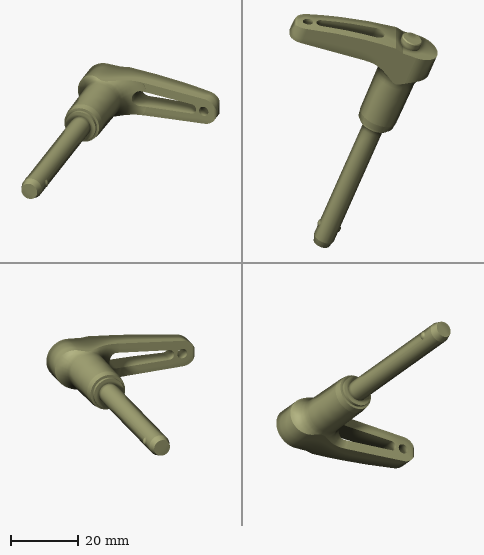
import cadquery as cq
import math


shank_radius = 3.175
shank_length = 45.5
tip_length = 2.2
tip_radius = 2.5

ball_radius = 1.45
ball_reach = 3.63
ball_y = -39.0

collar_radius = 4.72
collar_height = 0.97
sleeve_rim_radius = 5.5
sleeve_edge_radius = 5.8
sleeve_edge_y = 3.1
sleeve_top_radius = 6.0
sleeve_top_y = 17.4

button_radius = 3.15
button_top_y = 32.22
button_chamfer = 0.3

head_radius = 6.345
head_x = -2.505
grip_end_radius = 4.1
grip_end_x = 31.215

head_top_y = 29.9
step_start = (2.1, head_top_y)
step_end = (4.6, 30.68)
back_middle = (22.6, 28.8)
back_end = (34.75, 26.0)
belly_end = (35.52, 21.25)
belly_start = (10.0, 23.35)
nose_radius = 0.9

flare_start = (sleeve_top_radius, sleeve_top_y)
flare_middle = (7.76, 21.64)
flare_outer_radius = 12.75
belly_slope = (belly_end[1] - belly_start[1]) / (belly_end[0] - belly_start[0])
flare_outer_y = belly_start[1] + belly_slope * (flare_outer_radius - belly_start[0])
flare_end = (flare_outer_radius, flare_outer_y)

window_wide_radius = 2.5
window_wide_x = 10.8
window_narrow_radius = 1.55
window_narrow_x = 27.2
lanyard_hole_radius = 1.5

hub_top_y = head_top_y

cut_height = 2 * head_top_y


def tapered_prism(x_a, radius_a, x_b, radius_b, height):
    """Prism along +Y from Y = 0: circle a at the left, circle b at the right, joined by tangents."""
    lean = math.asin((radius_a - radius_b) / (x_b - x_a))
    ax = x_a + radius_a * math.sin(lean)
    az = radius_a * math.cos(lean)
    bx = x_b + radius_b * math.sin(lean)
    bz = radius_b * math.cos(lean)
    return (
        cq.Workplane("XZ")
        .moveTo(ax, az)
        .lineTo(bx, bz)
        .threePointArc((x_b + radius_b, 0), (bx, -bz))
        .lineTo(ax, -az)
        .threePointArc((x_a - radius_a, 0), (ax, az))
        .close()
        .extrude(-height)
    )


def revolve_about_pin(outline):
    return outline.close().revolve(360, (0, 0, 0), (0, 1, 0))


def make_shank():
    return revolve_about_pin(
        cq.Workplane("XY")
        .moveTo(0, -shank_length)
        .lineTo(tip_radius, -shank_length)
        .lineTo(shank_radius, tip_length - shank_length)
        .lineTo(shank_radius, collar_height)
        .lineTo(0, collar_height)
    )


def make_ball(side):
    return cq.Workplane("XY").sphere(ball_radius).translate((side * (ball_reach - ball_radius), ball_y, 0))


def make_sleeve():
    return revolve_about_pin(
        cq.Workplane("XY")
        .lineTo(collar_radius, 0)
        .lineTo(collar_radius, collar_height)
        .lineTo(sleeve_rim_radius, collar_height)
        .lineTo(sleeve_edge_radius, sleeve_edge_y)
        .lineTo(sleeve_top_radius, sleeve_top_y)
        .lineTo(0, sleeve_top_y)
    )


def make_head():
    """Flare and the round hub above it, before trimming to the handle plan."""
    return revolve_about_pin(
        cq.Workplane("XY")
        .moveTo(0, sleeve_top_y)
        .lineTo(*flare_start)
        .threePointArc(flare_middle, flare_end)
        .lineTo(flare_outer_radius, hub_top_y)
        .lineTo(0, hub_top_y)
    )


def make_grip():
    """Arm profile extruded across the handle width, before trimming to the handle plan."""
    grip = (
        cq.Workplane("XY")
        .moveTo(0, belly_start[1])
        .lineTo(0, head_top_y)
        .lineTo(*step_start)
        .lineTo(*step_end)
        .threePointArc(back_middle, back_end)
        .lineTo(*belly_end)
        .lineTo(*belly_start)
        .close()
        .extrude(head_radius, both=True)
    )
    nose_edges = cq.selectors.BoxSelector(
        (back_end[0] - nose_radius, 0, -head_radius),
        (belly_end[0] + nose_radius, head_top_y, head_radius),
    )
    return grip.edges("|Z").edges(nose_edges).fillet(nose_radius)


def make_handle():
    plan = tapered_prism(head_x, head_radius, grip_end_x, grip_end_radius, cut_height)
    window = tapered_prism(
        window_wide_x, window_wide_radius, window_narrow_x, window_narrow_radius, cut_height
    )
    lanyard_hole = (
        cq.Workplane("XZ").center(grip_end_x, 0).circle(lanyard_hole_radius).extrude(-cut_height)
    )
    return make_grip().union(make_head()).intersect(plan).cut(window).cut(lanyard_hole)


def make_button():
    return (
        cq.Workplane("XZ", origin=(0, sleeve_top_y, 0))
        .circle(button_radius)
        .extrude(sleeve_top_y - button_top_y)
        .faces(">Y")
        .chamfer(button_chamfer)
    )


result = make_sleeve().union(make_shank()).union(make_handle()).union(make_button())
for side in (-1, 1):
    result = result.union(make_ball(side))